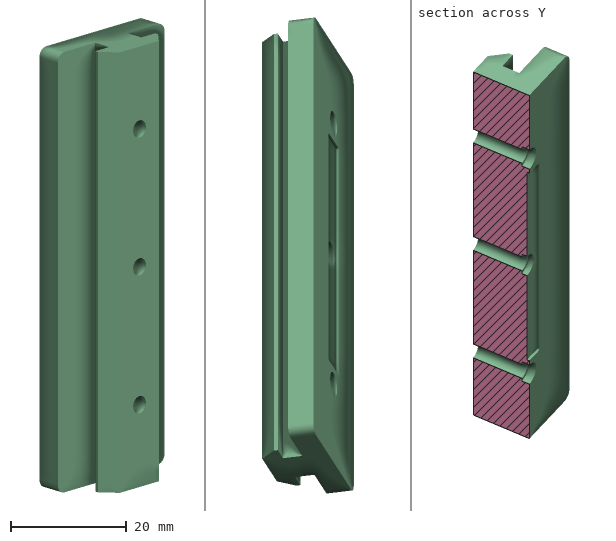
import cadquery as cq

length = 80.0
plate_width = 25.9
plate_thickness = 4.6
corner_radius = 1.6

total_depth = 11.5
neck_width = 7.8
head_start = 8.0
head_width = 14.6
head_lip = 0.7
rail_face_width = 9.4

recess_width = 6.5
recess_length = 43.6
recess_depth = 0.5
recess_corner_radius = 0.3

hole_spacing = 25.0
hole_diameter = 3.1
counterbore_diameter = 4.4
counterbore_depth = 1.5


def make_plate():
    plate = cq.Workplane("XY").box(
        plate_thickness, plate_width, length, centered=(False, True, True)
    )
    return plate.edges("|X").fillet(corner_radius)


def make_rail():
    """Neck and bevelled head, starting inside the plate so that they fuse."""
    upper_side = [
        (plate_thickness / 2, neck_width / 2),
        (head_start, neck_width / 2),
        (head_start, head_width / 2),
        (head_start + head_lip, head_width / 2),
        (total_depth, rail_face_width / 2),
    ]
    lower_side = [(x, -y) for x, y in reversed(upper_side)]
    profile = cq.Workplane("XY").polyline(upper_side + lower_side).close()
    return profile.extrude(length / 2, both=True)


def make_recess():
    recess = cq.Workplane("XY").box(
        recess_depth, recess_width, recess_length, centered=(False, True, True)
    )
    return recess.edges("|X").fillet(recess_corner_radius)


def make_hole(z):
    """Through hole with a counterbore sunk from the outer face."""
    start = cq.Workplane("YZ").center(0, z)
    bore = start.circle(hole_diameter / 2).extrude(total_depth)
    counterbore = start.circle(counterbore_diameter / 2).extrude(counterbore_depth)
    return bore.union(counterbore)


result = make_plate().union(make_rail()).cut(make_recess())
for z in (-hole_spacing, 0, hole_spacing):
    result = result.cut(make_hole(z))